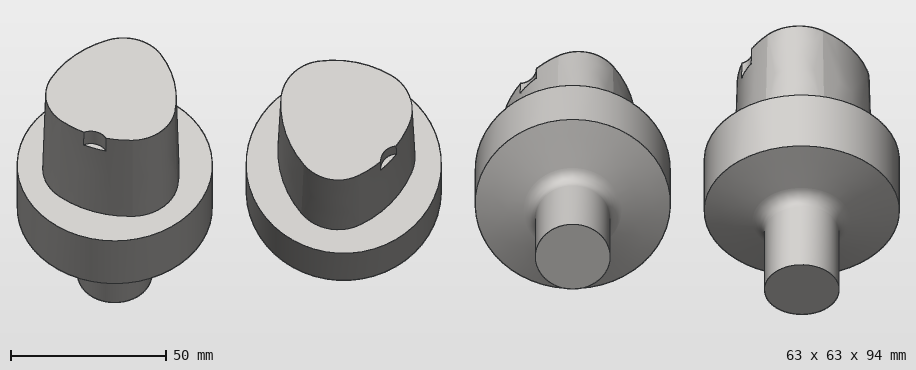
import cadquery as cq
import math

flange_radius = 63.0 / 2
flange_height = 22.0
cone_angle = 15.0
shank_radius = 24.14 / 2
length_below_flange_face = 56.0
neck_fillet_radius = 5.0

polygon_height = 38.0
side_distance = 20.55
lobe_distance = 23.4
side_radius = 35.5
taper_per_side = 1 / 40
lobe_count = 3
lobe_pitch = 360.0 / lobe_count
first_lobe_angle = 90.0

notch_depth = 6.4
notch_radius = 5.5
notch_innermost_y = -17.95

side_centre_offset = side_radius - side_distance
radius_excess = side_radius - lobe_distance
lobe_centre_offset = (side_centre_offset**2 - radius_excess**2) / (2 * radius_excess - side_centre_offset)
half_pitch = math.radians(lobe_pitch / 2)
side_half_angle = math.atan2(
    lobe_centre_offset * math.sin(half_pitch),
    side_centre_offset + lobe_centre_offset * math.cos(half_pitch),
)


def polar_point(distance, angle):
    radians = math.radians(angle)
    return (distance * math.cos(radians), distance * math.sin(radians))


def polygon_wire(inset, z):
    """Outline of the polygon, offset inwards by inset, at height z."""
    radius = side_radius - inset
    joint_along = radius * math.cos(side_half_angle) - side_centre_offset
    joint_across = radius * math.sin(side_half_angle)
    joint_distance = math.hypot(joint_along, joint_across)
    joint_angle = math.degrees(math.atan2(joint_across, joint_along))

    first_side_angle = first_lobe_angle + lobe_pitch / 2
    outline = cq.Workplane("XY", origin=(0, 0, z))
    outline = outline.moveTo(*polar_point(joint_distance, first_side_angle - joint_angle))
    for index in range(lobe_count):
        side_angle = first_side_angle + index * lobe_pitch
        lobe_angle = side_angle + lobe_pitch / 2
        next_side_angle = side_angle + lobe_pitch
        outline = outline.threePointArc(
            polar_point(side_distance - inset, side_angle),
            polar_point(joint_distance, side_angle + joint_angle),
        )
        outline = outline.threePointArc(
            polar_point(lobe_distance - inset, lobe_angle),
            polar_point(joint_distance, next_side_angle - joint_angle),
        )
    return outline.close().val()


def turned_body():
    """Cylindrical flange, shallow cone and filleted shank."""
    cone_height = (flange_radius - shank_radius) * math.tan(math.radians(cone_angle))
    cone_shank_corner_z = -flange_height - cone_height
    fillet_reach = neck_fillet_radius * math.tan(math.radians((90 - cone_angle) / 2))
    fillet_centre_r = shank_radius + neck_fillet_radius
    fillet_centre_z = cone_shank_corner_z - fillet_reach

    def fillet_point(angle):
        across, up = polar_point(neck_fillet_radius, angle)
        return (fillet_centre_r + across, fillet_centre_z + up)

    cone_tangent_angle = 90 + cone_angle
    middle_angle = (180 + cone_tangent_angle) / 2
    return (
        cq.Workplane("XZ")
        .moveTo(0, 0)
        .lineTo(flange_radius, 0)
        .lineTo(flange_radius, -flange_height)
        .lineTo(*fillet_point(cone_tangent_angle))
        .threePointArc(fillet_point(middle_angle), fillet_point(180))
        .lineTo(shank_radius, -length_below_flange_face)
        .lineTo(0, -length_below_flange_face)
        .close()
        .revolve(360, (0, 0, 0), (0, 1, 0))
    )


def tapered_polygon():
    """Three-lobed plug narrowing towards its free end."""
    base = polygon_wire(0, 0)
    end = polygon_wire(polygon_height * taper_per_side, polygon_height)
    return cq.Workplane(cq.Solid.makeLoft([base, end], True))


def orientation_notch():
    """Vertical cylinder, removed to leave the notch at the free end."""
    return (
        cq.Workplane("XY", origin=(0, 0, polygon_height - notch_depth))
        .center(0, notch_innermost_y - notch_radius)
        .circle(notch_radius)
        .extrude(notch_depth)
    )


result = turned_body().union(tapered_polygon()).cut(orientation_notch())